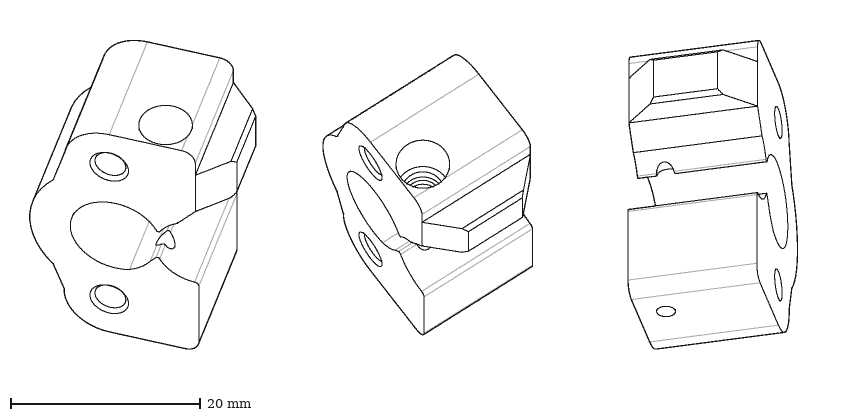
import cadquery as cq
import math

depth = 13.98
top_z = 15.45
bottom_z = top_z - 30.6

bore_radius = 5.0
lobe_radius = 9.48
lobe_end_z = 6.52
lobe_end_x = -math.sqrt(lobe_radius**2 - lobe_end_z**2)
mouth_radius = 4.5
mouth_center_x = 8.85
mouth_end_x = 6.75
tip_fillet = 0.25

pad_start_x = 1.53
pad_start = (pad_start_x, -math.sqrt(bore_radius**2 - pad_start_x**2))
pad_middle = (2.88, -3.9)
pad_end = (3.82, -2.75)

upper_right_x = 8.78
lower_right_x = 9.18
corner_radius = 1.5
lip_fillet = 0.5
shoulder_radius = 5.0
shoulder_x = -0.7
upper_shoulder_z = top_z - shoulder_radius
lower_shoulder_z = bottom_z + shoulder_radius
upper_shoulder_end_z = 10.98
lower_shoulder_end_z = -9.95

cross_hole_diameter = 3.4
cross_hole_rim_diameter = 4.25
cross_hole_zs = (10.45, -10.05)

overall_width = 21.78
tab_right_x = overall_width - lobe_radius
tab_bottom_z = 6.45
tab_top_z = 12.08
tab_chamfer = 0.5

screw_x = 4.6
screw_y = -3.95
head_diameter = 5.65
head_floor_z = 9.18
seat_diameter = 4.4
seat_floor_z = 7.95
cone_diameter = 3.6
cone_top_z = 7.05
screw_diameter = 2.0


def circle_x(center_x, center_z, radius, z):
    """X of the left-hand point of a circle at height z."""
    return center_x - math.sqrt(radius**2 - (z - center_z) ** 2)


def arc_middle(center_x, center_z, radius, start, end):
    """Point half way along the short arc from start to end."""
    dx = (start[0] + end[0]) / 2 - center_x
    dz = (start[1] + end[1]) / 2 - center_z
    scale = radius / math.hypot(dx, dz)
    return (center_x + dx * scale, center_z + dz * scale)


def along_y(workplane):
    """Extrude an XZ sketch through the full depth."""
    return workplane.extrude(depth / 2, both=True)


def make_body():
    tip_x = (bore_radius**2 - mouth_radius**2 + mouth_center_x**2) / (2 * mouth_center_x)
    tip_z = math.sqrt(bore_radius**2 - tip_x**2)
    upper_tip = (tip_x, tip_z)
    lower_tip = (tip_x, -tip_z)

    mouth_end_z = math.sqrt(mouth_radius**2 - (mouth_center_x - mouth_end_x) ** 2)
    mouth_end = (mouth_end_x, mouth_end_z)
    lip = (lower_right_x, -math.sqrt(mouth_radius**2 - (lower_right_x - mouth_center_x) ** 2))

    upper_start = (shoulder_x, top_z)
    upper_end = (
        circle_x(shoulder_x, upper_shoulder_z, shoulder_radius, upper_shoulder_end_z),
        upper_shoulder_end_z,
    )
    lower_start = (
        circle_x(shoulder_x, lower_shoulder_z, shoulder_radius, lower_shoulder_end_z),
        lower_shoulder_end_z,
    )
    lower_end = (shoulder_x, bottom_z)

    def shoulder_middle(center_z, start, end):
        return arc_middle(shoulder_x, center_z, shoulder_radius, start, end)

    def mouth_middle(start, end):
        return arc_middle(mouth_center_x, 0, mouth_radius, start, end)

    outline = (
        cq.Workplane("XZ")
        .moveTo(upper_right_x, top_z)
        .lineTo(*upper_start)
        .threePointArc(shoulder_middle(upper_shoulder_z, upper_start, upper_end), upper_end)
        .lineTo(lobe_end_x, lobe_end_z)
        .threePointArc((-lobe_radius, 0), (lobe_end_x, -lobe_end_z))
        .lineTo(*lower_start)
        .threePointArc(shoulder_middle(lower_shoulder_z, lower_start, lower_end), lower_end)
        .lineTo(lower_right_x, bottom_z)
        .lineTo(*lip)
        .threePointArc(mouth_middle(lip, lower_tip), lower_tip)
        .lineTo(*pad_end)
        .threePointArc(pad_middle, pad_start)
        .threePointArc((-bore_radius, 0), upper_tip)
        .threePointArc(mouth_middle(upper_tip, mouth_end), mouth_end)
        .lineTo(upper_right_x, tab_bottom_z)
        .close()
    )

    def round_edges(body, radius, corners):
        for x, z in corners:
            selector = cq.selectors.NearestToPointSelector((x, 0, z))
            body = body.edges("|Y").edges(selector).fillet(radius)
        return body

    body = along_y(outline)
    body = round_edges(body, corner_radius, [(upper_right_x, top_z), (lower_right_x, bottom_z)])
    body = round_edges(body, tip_fillet, [upper_tip, lower_tip])
    return round_edges(body, lip_fillet, [lip])


def make_tab():
    length = tab_right_x - upper_right_x
    end_half_width = depth / 2 - length
    wedge = (
        cq.Workplane("XY", origin=(0, 0, tab_bottom_z))
        .moveTo(upper_right_x, -depth / 2)
        .lineTo(tab_right_x, -end_half_width)
        .lineTo(tab_right_x, end_half_width)
        .lineTo(upper_right_x, depth / 2)
        .close()
        .extrude(tab_top_z - tab_bottom_z)
    )
    return wedge.faces(">X").edges("|Y").chamfer(tab_chamfer)


def cross_hole(z):
    front = cq.Workplane("XZ", origin=(shoulder_x, -depth / 2, z))
    rim_depth = (cross_hole_rim_diameter - cross_hole_diameter) / 2
    hole = front.circle(cross_hole_diameter / 2).extrude(-depth)
    rim = front.circle(cross_hole_rim_diameter / 2).extrude(-rim_depth, taper=45)
    return hole.union(rim)


def screw_hole():
    cone_floor_z = cone_top_z - (cone_diameter - screw_diameter) / 2
    return (
        cq.Workplane("XZ", origin=(screw_x, screw_y, 0))
        .moveTo(0, top_z)
        .lineTo(head_diameter / 2, top_z)
        .lineTo(head_diameter / 2, head_floor_z)
        .lineTo(seat_diameter / 2, head_floor_z)
        .lineTo(seat_diameter / 2, seat_floor_z)
        .lineTo(cone_diameter / 2, seat_floor_z)
        .lineTo(cone_diameter / 2, cone_top_z)
        .lineTo(screw_diameter / 2, cone_floor_z)
        .lineTo(screw_diameter / 2, bottom_z)
        .lineTo(0, bottom_z)
        .close()
        .revolve(360, (0, 0), (0, 1))
    )


result = make_body().union(make_tab())
for hole_z in cross_hole_zs:
    result = result.cut(cross_hole(hole_z))
result = result.cut(screw_hole())